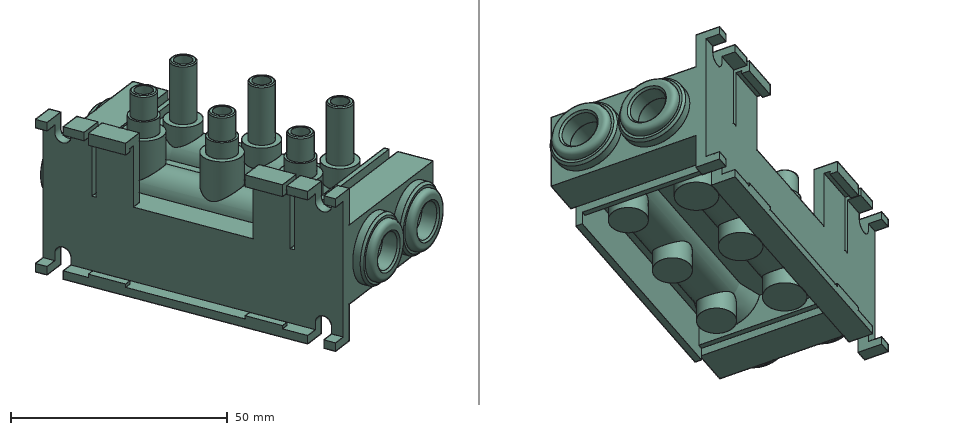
import cadquery as cq

ROW_SPACING = 18.0
BORE_DIA = 9.3
FRONT_ROW_Y = -ROW_SPACING / 2
BACK_ROW_Y = ROW_SPACING / 2

PLATE_LENGTH = 80.4
PLATE_HEIGHT = 39.44
PLATE_THICKNESS = 2.75
ROW_TO_PLATE = 10.45
PLATE_BACK_Y = FRONT_ROW_Y - ROW_TO_PLATE
PLATE_FRONT_Y = PLATE_BACK_Y - PLATE_THICKNESS
PLATE_HALF_LENGTH = PLATE_LENGTH / 2
PLATE_HALF_HEIGHT = PLATE_HEIGHT / 2
LIP_REACH = 3.5
LIP_THICKNESS = 2.2
LIP_FRONT_Y = PLATE_FRONT_Y - LIP_REACH
HOOK_DEPTH = 0.85
HOOK_WIDTH = 2.0

SCREW_SLOT_X = 34.9
SCREW_SLOT_WIDTH = 4.3
SCREW_SLOT_DEPTH = 6.25
WINDOW_HALF_LENGTH = 16.0
TAB_OUTER_X = 26.0
SLIT_WIDTH = 1.1

ROW_TO_BACK = 9.75
BACK_Y = BACK_ROW_Y + ROW_TO_BACK
BLOCK_HALF_HEIGHT = 10.25
BLOCK_INNER_X = 30.75
RIB_INNER_X = TAB_OUTER_X + SLIT_WIDTH
RIB_THICKNESS = 1.3
RIB_OUTER_X = RIB_INNER_X + RIB_THICKNESS
NECK_HALF_HEIGHT = 7.2
NECK_SETBACK = 1.95
NECK_BACK_Y = BACK_Y - NECK_SETBACK
WEB_HALF_HEIGHT = 1.7
SKIRT_BOTTOM_Z = -13.7
SKIRT_THICKNESS = 1.7

PIPE_RADIUS = 6.4
FLARE_RADIUS = 8.15

STEM_SPACING = 21.0
STEM_TOP_Z = 24.97
STEM_DIA = 6.4
STEM_BORE_DIA = 4.5
STEM_EDGE_CHAMFER = 0.3
COLLAR_DIA = 7.6
COLLAR_TOP_Z = 18.6
FRONT_BOSS_DIA = 10.3
FRONT_BOSS_TOP_Z = 14.35
BACK_BOSS_DIA = 9.25
BACK_BOSS_TOP_Z = 9.8
BOSS_BOTTOM_Z = -10.5

OVERALL_LENGTH = 89.33
COLLET_LENGTH = (OVERALL_LENGTH - PLATE_LENGTH) / 2
MOUTH_CHAMFER = 0.5
FLANGE_DIA = 17.75
FLANGE_LENGTH = 2.6
FLANGE_CHAMFER = 0.6
NOSE_DIA = 15.2
NOSE_FILLET = 1.2


def box(x_range, y_range, z_range):
    """A box between the given limits, which may be listed in either order."""
    sizes = [abs(limits[1] - limits[0]) for limits in (x_range, y_range, z_range)]
    corner = [min(limits) for limits in (x_range, y_range, z_range)]
    return cq.Workplane("XY").box(*sizes, centered=False).translate(tuple(corner))


def rod(diameter, y, x_start, x_end):
    """A cylinder along X at one bore row."""
    return cq.Workplane("YZ", origin=(x_start, y, 0)).circle(diameter / 2).extrude(x_end - x_start)


def post(diameter, x, y, z_bottom, z_top):
    """A cylinder along Z."""
    return cq.Workplane("XY", origin=(x, y, z_bottom)).circle(diameter / 2).extrude(z_top - z_bottom)


def screw_slot(x, side):
    """A round-ended slot open at the top (side = 1) or bottom (side = -1) edge of the plate."""
    radius = SCREW_SLOT_WIDTH / 2
    edge_z = side * PLATE_HALF_HEIGHT
    end_z = side * (PLATE_HALF_HEIGHT - SCREW_SLOT_DEPTH)
    arc_start_z = end_z + side * radius
    return (
        cq.Workplane("XZ", origin=(x, PLATE_BACK_Y, 0))
        .moveTo(-radius, edge_z)
        .lineTo(-radius, arc_start_z)
        .threePointArc((0, end_z), (radius, arc_start_z))
        .lineTo(radius, edge_z)
        .close()
        .extrude(PLATE_BACK_Y - LIP_FRONT_Y)
    )


def mounting_plate():
    """The plate with lips and hooks along its top and bottom edges, and its openings."""
    full_x = (-PLATE_HALF_LENGTH, PLATE_HALF_LENGTH)
    depth = (LIP_FRONT_Y, PLATE_BACK_Y)
    plate = box(full_x, (PLATE_FRONT_Y, PLATE_BACK_Y), (-PLATE_HALF_HEIGHT, PLATE_HALF_HEIGHT))
    lip_inner_z = PLATE_HALF_HEIGHT - LIP_THICKNESS
    for side in (-1, 1):
        lip_z = (side * lip_inner_z, side * PLATE_HALF_HEIGHT)
        plate = plate.union(box(full_x, (LIP_FRONT_Y, PLATE_FRONT_Y), lip_z))
        hook_z = (side * (lip_inner_z - HOOK_DEPTH), side * lip_inner_z)
        for end in (-1, 1):
            hook_x = (end * WINDOW_HALF_LENGTH, end * TAB_OUTER_X)
            plate = plate.union(box(hook_x, (LIP_FRONT_Y, LIP_FRONT_Y + HOOK_WIDTH), hook_z))
    opening_z = (WEB_HALF_HEIGHT, PLATE_HALF_HEIGHT)
    plate = plate.cut(box((-WINDOW_HALF_LENGTH, WINDOW_HALF_LENGTH), depth, opening_z))
    for end in (-1, 1):
        plate = plate.cut(box((end * TAB_OUTER_X, end * RIB_INNER_X), depth, opening_z))
        for side in (-1, 1):
            plate = plate.cut(screw_slot(end * SCREW_SLOT_X, side))
    return plate


def end_section(end):
    """End block, the thinner neck and the rib at one end (end = -1 or 1)."""
    block_x = (end * BLOCK_INNER_X, end * PLATE_HALF_LENGTH)
    rib_x = (end * RIB_INNER_X, end * RIB_OUTER_X)
    neck_x = (end * RIB_OUTER_X, end * BLOCK_INNER_X)
    full_y = (PLATE_BACK_Y, BACK_Y)
    neck_y = (PLATE_BACK_Y, NECK_BACK_Y)
    neck_z = (-NECK_HALF_HEIGHT, NECK_HALF_HEIGHT)
    block_z = (-BLOCK_HALF_HEIGHT, BLOCK_HALF_HEIGHT)
    section = box(block_x, full_y, block_z)
    section = section.union(box(neck_x, neck_y, neck_z))
    return section.union(box(rib_x, full_y, block_z))


def web():
    """The floor that joins the pipes, ribs and plate."""
    return box(
        (-RIB_INNER_X, RIB_INNER_X),
        (PLATE_BACK_Y, BACK_Y),
        (-WEB_HALF_HEIGHT, WEB_HALF_HEIGHT),
    )


def back_skirt():
    """A thin wall that hangs from the back edge of the web, between and including the ribs."""
    return box(
        (-RIB_OUTER_X, RIB_OUTER_X),
        (BACK_Y - SKIRT_THICKNESS, BACK_Y),
        (SKIRT_BOTTOM_Z, WEB_HALF_HEIGHT),
    )


def pipe(y):
    """A pipe that flares from the outer stems out to the ribs."""
    half_profile = [
        (-RIB_INNER_X, 0),
        (-RIB_INNER_X, FLARE_RADIUS),
        (-STEM_SPACING, PIPE_RADIUS),
        (STEM_SPACING, PIPE_RADIUS),
        (RIB_INNER_X, FLARE_RADIUS),
        (RIB_INNER_X, 0),
    ]
    return (
        cq.Workplane("XY")
        .polyline(half_profile)
        .close()
        .revolve(360, (0, 0, 0), (1, 0, 0))
        .translate((0, y, 0))
    )


def stem(x, y, boss_dia, boss_top_z):
    """A stem that stands on a round boss crossing the pipe."""
    tube = post(STEM_DIA, x, y, 0, STEM_TOP_Z).faces(">Z").chamfer(STEM_EDGE_CHAMFER)
    return post(boss_dia, x, y, BOSS_BOTTOM_Z, boss_top_z).union(tube)


def housing_body():
    """Plate, end sections, web, skirt, pipes and stems in one piece, with the bores cut last."""
    body = mounting_plate().union(web()).union(back_skirt())
    for end in (-1, 1):
        body = body.union(end_section(end))
    stem_xs = (-STEM_SPACING, 0, STEM_SPACING)
    for y in (FRONT_ROW_Y, BACK_ROW_Y):
        body = body.union(pipe(y))
    for x in stem_xs:
        body = body.union(stem(x, FRONT_ROW_Y, FRONT_BOSS_DIA, FRONT_BOSS_TOP_Z))
        body = body.union(post(COLLAR_DIA, x, FRONT_ROW_Y, 0, COLLAR_TOP_Z))
        body = body.union(stem(x, BACK_ROW_Y, BACK_BOSS_DIA, BACK_BOSS_TOP_Z))
    for y in (FRONT_ROW_Y, BACK_ROW_Y):
        body = body.cut(rod(BORE_DIA, y, -PLATE_HALF_LENGTH, PLATE_HALF_LENGTH))
        for x in stem_xs:
            body = body.cut(post(STEM_BORE_DIA, x, y, 0, STEM_TOP_Z))
    return body


def collet(end, y):
    """A flanged ring with a rounded nose at one bore mouth (end = -1 or 1)."""
    flange = rod(FLANGE_DIA, 0, 0, FLANGE_LENGTH).faces(">X").chamfer(FLANGE_CHAMFER)
    nose = rod(NOSE_DIA, 0, 0, COLLET_LENGTH).faces(">X").edges().fillet(NOSE_FILLET)
    bore = rod(BORE_DIA, 0, 0, COLLET_LENGTH)
    ring = flange.union(nose).cut(bore)
    ring = ring.faces(">X").edges(cq.selectors.RadiusNthSelector(0)).chamfer(MOUTH_CHAMFER)
    if end < 0:
        ring = ring.rotate((0, 0, 0), (0, 0, 1), 180)
    return ring.translate((end * PLATE_HALF_LENGTH, y, 0))


housing = housing_body()
collets = [collet(end, y) for end in (-1, 1) for y in (FRONT_ROW_Y, BACK_ROW_Y)]

result = cq.Compound.makeCompound([housing.val(), *[ring.val() for ring in collets]])